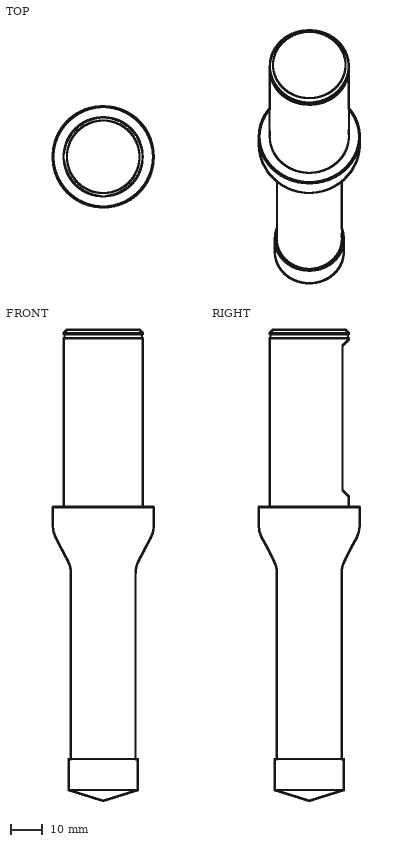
import cadquery as cq
import math

total_height = 149.0
head_shoulder_height = 3.5
head_top_height = 13.3
blend_bottom_height = 72.1
collar_top_height = 93.1

head_radius = 21.9 / 2
neck_radius = 20.5 / 2
collar_radius = 32.0 / 2
shank_radius = 25.0 / 2

flare_angle = math.radians(27.6)
flare_arc_radius = 8.0

collar_chamfer = 0.3
shank_chamfer = 1.0

groove_top_height = 147.7
groove_bottom_height = 146.2
groove_depth = 0.22

flat_depth = 2.0
flat_top_height = 145.9
flat_bottom_height = 96.3


def make_drill_head():
    """Cylindrical cutting head with a conical point."""
    return (
        cq.Workplane("XZ")
        .moveTo(0, 0)
        .lineTo(head_radius, head_shoulder_height)
        .lineTo(head_radius, head_top_height)
        .lineTo(0, head_top_height)
        .close()
        .revolve(360, (0, 0, 0), (0, 1, 0))
    )


def make_holder_blank():
    """Turned holder: neck, flared collar and shank."""
    arc_height = flare_arc_radius * math.sin(flare_angle)
    arc_width = flare_arc_radius * (1 - math.cos(flare_angle))
    cone_bottom_radius = neck_radius + arc_width
    cone_top_radius = collar_radius - arc_width
    cone_bottom_height = blend_bottom_height + arc_height
    cone_top_height = cone_bottom_height + (cone_top_radius - cone_bottom_radius) / math.tan(flare_angle)
    collar_bottom_height = cone_top_height + arc_height
    return (
        cq.Workplane("XZ")
        .moveTo(0, head_top_height)
        .lineTo(neck_radius, head_top_height)
        .lineTo(neck_radius, blend_bottom_height)
        .tangentArcPoint((cone_bottom_radius, cone_bottom_height), relative=False)
        .lineTo(cone_top_radius, cone_top_height)
        .tangentArcPoint((collar_radius, collar_bottom_height), relative=False)
        .lineTo(collar_radius, collar_top_height - collar_chamfer)
        .lineTo(collar_radius - collar_chamfer, collar_top_height)
        .lineTo(shank_radius, collar_top_height)
        .lineTo(shank_radius, groove_bottom_height)
        .lineTo(shank_radius - groove_depth, groove_bottom_height + groove_depth)
        .lineTo(shank_radius - groove_depth, groove_top_height - groove_depth)
        .lineTo(shank_radius, groove_top_height)
        .lineTo(shank_radius, total_height - shank_chamfer)
        .lineTo(shank_radius - shank_chamfer, total_height)
        .lineTo(0, total_height)
        .close()
        .revolve(360, (0, 0, 0), (0, 1, 0))
    )


def make_flat_cutter():
    """Prism across the shank that cuts the clamping flat."""
    return (
        cq.Workplane("YZ")
        .moveTo(shank_radius, flat_bottom_height)
        .lineTo(shank_radius - flat_depth, flat_bottom_height + flat_depth)
        .lineTo(shank_radius - flat_depth, flat_top_height - flat_depth)
        .lineTo(shank_radius, flat_top_height)
        .close()
        .extrude(shank_radius, both=True)
    )


drill_head = make_drill_head()
holder = make_holder_blank().cut(make_flat_cutter())

result = cq.Compound.makeCompound([drill_head.val(), holder.val()])